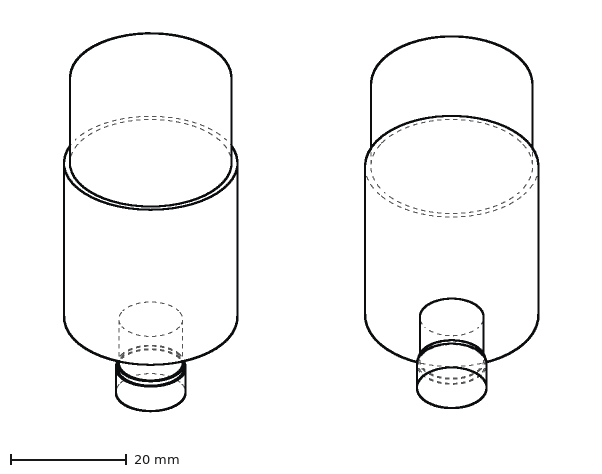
import cadquery as cq

total_height = 65.0
body_diameter = 30.0
cap_diameter = 27.95
stem_diameter = 11.05
collar_diameter = 11.6
plug_diameter = 12.1

plug_height = 5.1
collar_height = 0.9
body_bottom = 15.0
cap_height = 17.95
edge_radius = 0.5

body_top = total_height - cap_height
collar_top = plug_height + collar_height


def cylinder(diameter, bottom, top):
    """Solid cylinder on the Z axis between two heights."""
    return cq.Workplane("XY").workplane(offset=bottom).circle(diameter / 2).extrude(top - bottom)


plug = cylinder(plug_diameter, 0, plug_height)
collar = cylinder(collar_diameter, plug_height, collar_top)
stem = cylinder(stem_diameter, collar_top, body_bottom)

body = cylinder(body_diameter, body_bottom, body_top).faces("<Z").edges().fillet(edge_radius)
cap = cylinder(cap_diameter, body_top, total_height).faces(">Z").edges().fillet(edge_radius)

result = plug.union(collar).union(stem).union(body).union(cap)